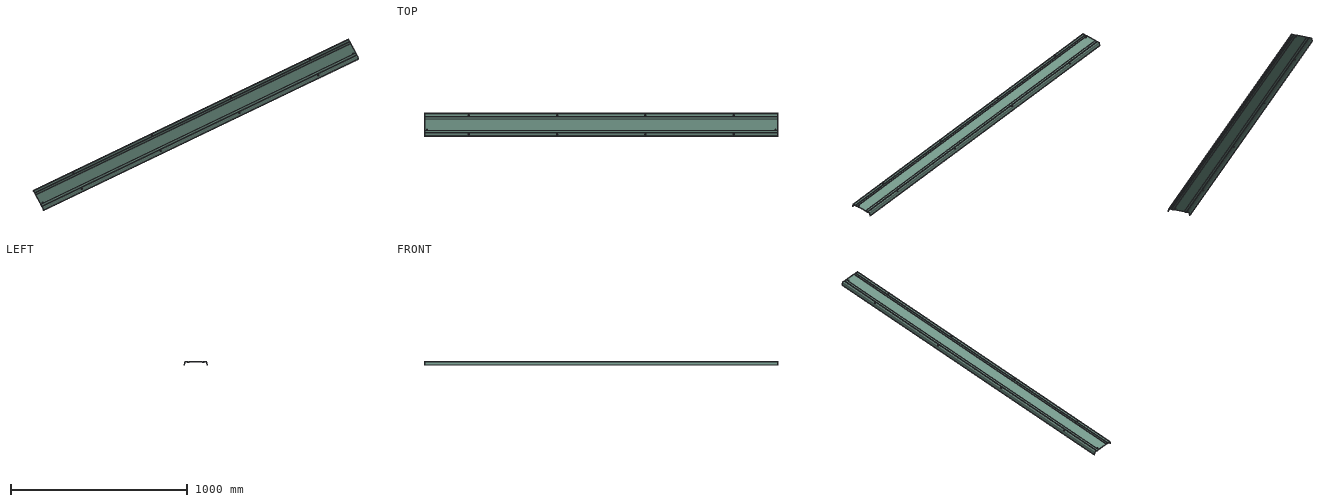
import cadquery as cq
import math

LENGTH = 2000.0
WIDTH = 132.0
HEIGHT = 20.0
SHEET = 2.0

LEG_LEAN = 5.0
BEND_RADIUS = 3.0

GROOVE_OUTER_Y = 45.0
GROOVE_INNER_Y = 32.0
GROOVE_DEPTH = 2.5
FOLD_RADIUS = 2.0

HOLE_DIAMETER = 5.0
FLANGE_HOLE_Y = 55.0
FLANGE_HOLE_PITCH = 500.0
FLANGE_HOLE_COUNT = 4
END_HOLE_INSET = 15.0
END_HOLE_Y = -28.0

SIDES = (-1, 1)


def bar(outline):
    """Extrude an outline in the YZ plane over the full length."""
    return outline.extrude(LENGTH / 2, both=True)


def filled_channel(inset):
    """Bar filling the channel, with its top and legs moved inwards by the inset."""
    lean_angle = math.atan(LEG_LEAN / HEIGHT)
    top_z = HEIGHT - inset
    foot_y = WIDTH / 2 - inset / math.cos(lean_angle)
    top_y = foot_y - top_z * math.tan(lean_angle)
    corners = [(-foot_y, 0), (foot_y, 0), (top_y, top_z), (-top_y, top_z)]
    outline = cq.Workplane("YZ").polyline(corners).close()
    return bar(outline).edges("|X and >Z").fillet(BEND_RADIUS - inset)


def groove_outline(side):
    """Open space of one groove: rounded fold at the flange, short wall, hollow floor."""
    wall_y = side * GROOVE_OUTER_Y
    floor_width = GROOVE_OUTER_Y - GROOVE_INNER_Y
    floor_radius = (floor_width**2 + GROOVE_DEPTH**2) / (2 * GROOVE_DEPTH)
    half_slope = math.asin(floor_width / floor_radius) / 2
    floor_middle = (
        wall_y - side * floor_radius * math.sin(half_slope),
        HEIGHT - GROOVE_DEPTH + floor_radius * (1 - math.cos(half_slope)),
    )
    fold_sag = FOLD_RADIUS * (1 - math.sqrt(0.5))
    return (
        cq.Workplane("YZ")
        .moveTo(wall_y + side * FOLD_RADIUS, HEIGHT)
        .threePointArc((wall_y + side * fold_sag, HEIGHT - fold_sag), (wall_y, HEIGHT - FOLD_RADIUS))
        .lineTo(wall_y, HEIGHT - GROOVE_DEPTH)
        .threePointArc(floor_middle, (side * GROOVE_INNER_Y, HEIGHT))
        .close()
    )


def drill(points):
    """Round bars through the top of the strip."""
    return cq.Workplane("XY").pushPoints(points).circle(HOLE_DIAMETER / 2).extrude(HEIGHT)


def folded_sheet():
    """Channel of even sheet thickness with a groove along each side of the centre panel."""
    outside = filled_channel(0)
    cavity = filled_channel(SHEET)
    for side in SIDES:
        outside = outside.cut(bar(groove_outline(side)))
        cavity = cavity.cut(bar(groove_outline(side).offset2D(SHEET)))
    return outside.cut(cavity)


def flange_holes():
    """Evenly spaced holes along both flanges, outside the grooves."""
    first_x = -FLANGE_HOLE_PITCH * (FLANGE_HOLE_COUNT - 1) / 2
    xs = [first_x + i * FLANGE_HOLE_PITCH for i in range(FLANGE_HOLE_COUNT)]
    return drill([(x, side * FLANGE_HOLE_Y) for x in xs for side in SIDES])


def end_holes():
    """One hole near each end, on the -Y edge of the centre panel."""
    end_hole_x = LENGTH / 2 - END_HOLE_INSET
    return drill([(side * end_hole_x, END_HOLE_Y) for side in SIDES])


result = folded_sheet().cut(flange_holes()).cut(end_holes())